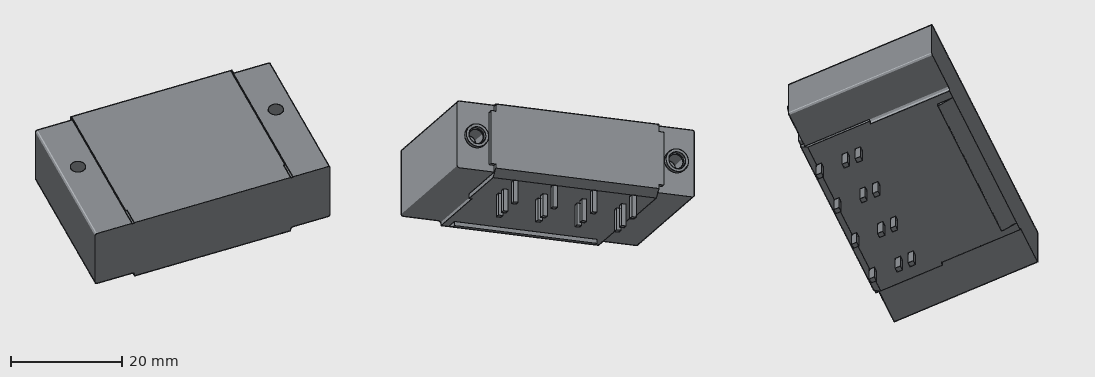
import cadquery as cq


length = 29.25
width = 45.7
housing_height = 12.75
body_half_width = 15.75
body_drop = 0.85
front_step = 0.82
front_chamfer = 1.35
flank_edge_radius = 0.45

ear_half_width = 16.7
ear_bottom = 1.3
ear_top = 11.4
ear_corner_radius = 0.2

seam_half_width = 15.5
seam_width = 0.15
seam_depth = 0.15
seam_relief_start = 25.85
seam_relief_width = 0.27
lower_relief_start = 13.62
lower_relief_radius = 0.55

boss_y = 19.25
boss_z = 6.35
boss_radius = 2.15
counterbore_radius = 1.6
counterbore_depth = front_step
screw_hole_radius = 1.35
screw_hole_depth = 4.55

top_hole_x = 12.25
top_hole_radius = 1.35
top_hole_depth = 3.65

latch_start = 26.25
latch_flat = 0.5
latch_width = 27.45
latch_drop = 0.8

pin_row_centres = [1.8, 6.95, 9.5]
pin_size = 1.05
pin_pitch = 7.6
pins_per_row = 4
pin_thickness = 0.85
pin_bottom = -5.05

body_bottom = -body_drop
sides = (-1, 1)


def box(x_range, y_range, z_range):
    """Axis-aligned box between the given limits, in either order."""
    x0, x1 = sorted(x_range)
    y0, y1 = sorted(y_range)
    z0, z1 = sorted(z_range)
    return cq.Workplane("XY").box(x1 - x0, y1 - y0, z1 - z0, centered=False).translate((x0, y0, z0))


def make_body():
    """Central body with its chamfered lower front edge."""
    body = box((0, length), (-body_half_width, body_half_width), (body_bottom, housing_height))
    return body.edges("<X and <Z").chamfer(front_chamfer)


def make_flanks():
    """Lengthwise bar that forms both flanks, rounded along its outer edges."""
    bar = box((front_step, length), (-width / 2, width / 2), (0, housing_height))
    return bar.edges("|X").fillet(flank_edge_radius)


def make_ears():
    """Front plate whose ends overlap the flanks."""
    plate = box((0, front_step), (-ear_half_width, ear_half_width), (ear_bottom, ear_top))
    return plate.edges("|X").fillet(ear_corner_radius)


def front_cylinder(side, radius, depth):
    """Cylinder on a boss axis, running from the front face towards the rear."""
    start = cq.Workplane("YZ").center(side * boss_y, boss_z)
    return start.circle(radius).extrude(depth)


def screw_hole(side):
    """Counterbored blind hole of a boss."""
    counterbore = front_cylinder(side, counterbore_radius, counterbore_depth)
    return counterbore.union(front_cylinder(side, screw_hole_radius, screw_hole_depth))


def top_hole(side):
    """Blind hole in the top of a flank."""
    start = cq.Workplane("XY").workplane(offset=housing_height)
    return start.center(top_hole_x, side * boss_y).circle(top_hole_radius).extrude(-top_hole_depth)


def top_seam(side):
    """Narrow groove along the top edge of the body, widened inwards near the rear."""
    step_y = side * seam_half_width
    groove = box(
        (0, length),
        (step_y, step_y + side * seam_width),
        (housing_height - seam_depth, housing_height),
    )
    relief = box(
        (seam_relief_start, length),
        (step_y - side * seam_relief_width, step_y),
        (housing_height - seam_depth, housing_height),
    )
    return groove.union(relief)


def lower_relief(side):
    """Recess in the body side below a flank, blended up to the flank by a hollow round."""
    outer = side * body_half_width
    inner = outer - side * lower_relief_radius
    profile = (
        cq.Workplane("YZ")
        .workplane(offset=lower_relief_start)
        .moveTo(outer, body_bottom)
        .lineTo(inner, body_bottom)
        .lineTo(inner, -lower_relief_radius)
        .radiusArc((outer, 0), side * lower_relief_radius)
        .close()
    )
    return profile.extrude(length - lower_relief_start)


def make_latch():
    """Ridge with a steep front and a ramp rising to the rear edge."""
    latch_bottom = body_bottom - latch_drop
    profile = (
        cq.Workplane("XZ")
        .moveTo(latch_start, body_bottom)
        .lineTo(latch_start, latch_bottom)
        .lineTo(latch_start + latch_flat, latch_bottom)
        .lineTo(length, body_bottom)
        .close()
    )
    return profile.extrude(latch_width / 2, both=True)


def make_pins():
    """Rectangular pins in rows across the width."""
    pins = cq.Workplane("XY")
    pin_height = body_bottom - pin_bottom
    for row_x in pin_row_centres:
        row = (
            cq.Workplane("XY")
            .workplane(offset=pin_bottom)
            .center(row_x, 0)
            .rarray(0.45, pin_pitch, 1, pins_per_row)
            .rect(pin_size, pin_thickness)
            .extrude(pin_height)
        )
        pins.add(row)
    return pins.combine()


housing = make_body().union(make_flanks()).union(make_ears())
for side in sides:
    housing = housing.union(front_cylinder(side, boss_radius, front_step))
    housing = housing.cut(screw_hole(side)).cut(top_hole(side))
    housing = housing.cut(top_seam(side)).cut(lower_relief(side))

result = housing.union(make_latch()).union(make_pins())